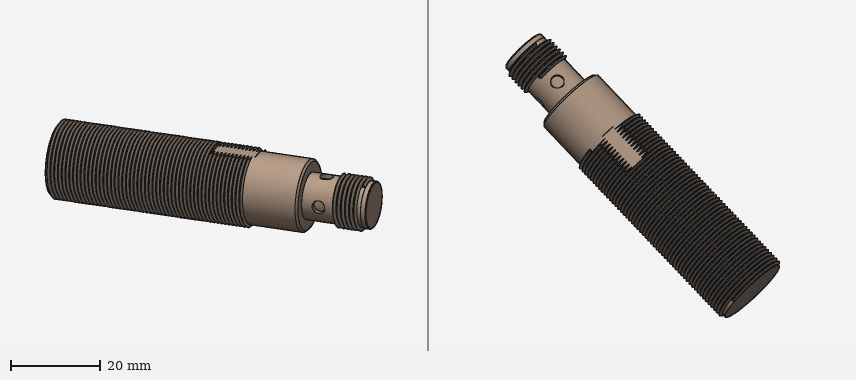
import cadquery as cq
barrel_radius = 8.35
barrel_length = 60.0
barrel_chamfer = 0.5

barrel_pitch = 0.9
barrel_crest_radius = 9.07
barrel_turns = 52
barrel_thread_start = 0.4
barrel_thread_angle = 40
block_turns = 10
block_count = 4

flat_start = 37.5
flat_length = 10.0
flat_height = 8.2

total_length = 75.3
neck_radius = 5.4
collar_radius = 5.45
collar_start = 74.0
collar_chamfer = 0.2
connector_pitch = 1.0
connector_crest_radius = 6.2
connector_turns = 6.13
connector_thread_start = 67.43
connector_thread_angle = 24

pocket_diameter = 3.0
pocket_floor_radius = 4.35
pocket_count = 4
pocket_x = 64.0

flank_slope = 0.52
root_overlap = 0.03

joint_tolerance = 0.0001


def cylinder(start, end, radius):
    """Cylinder along X between two stations."""
    return cq.Workplane("YZ").workplane(offset=start).circle(radius).extrude(end - start)


def thread(start, angle, pitch, turns, root_radius, crest_radius):
    """Right-handed thread ridge around X, its crest starting at x = start, at an angle from +Z toward +Y."""
    inner_radius = root_radius - root_overlap
    half_base = (crest_radius - inner_radius) * flank_slope
    helix = cq.Wire.makeHelix(pitch, pitch * turns, root_radius)
    ridge = (
        cq.Workplane("XZ")
        .polyline([(inner_radius, -half_base), (crest_radius, 0), (inner_radius, half_base)])
        .close()
        .sweep(helix, isFrenet=True)
    )
    ridge = ridge.rotate((0, 0, 0), (0, 1, 0), 90).rotate((0, 0, 0), (1, 0, 0), 180 - angle)
    return ridge.translate((start, 0, 0))


def turn_station(turn):
    """Station along X where the given turn of the barrel thread begins."""
    return barrel_thread_start + turn * barrel_pitch


def barrel_piece(core, first_turn, last_turn):
    """Core cylinder joined with the given turns of the barrel thread."""
    ridge = thread(
        turn_station(first_turn),
        barrel_thread_angle,
        barrel_pitch,
        last_turn - first_turn,
        barrel_radius,
        barrel_crest_radius,
    )
    return core.union(ridge, clean=False)


def slice_between(body, start, end):
    """Part of a body between two stations along X."""
    return body.intersect(cylinder(start, end, 2 * barrel_radius), clean=False)


def sew_at_joints(pieces, joints):
    """Join pieces that meet face to face at the given stations, dropping the faces inside."""
    outer_faces = []
    for piece in pieces:
        for face in piece.faces().vals():
            at_joint = any(abs(face.Center().x - joint) < joint_tolerance for joint in joints)
            if not (at_joint and face.geomType() == "PLANE"):
                outer_faces.append(face)
    body = cq.occ_impl.shapes.solid(*outer_faces, tol=joint_tolerance)
    return cq.Workplane(body)


def wrench_flat(side):
    """Block to cut away above the flat on the +Z (side = 1) or -Z (side = -1) side."""
    height = barrel_crest_radius
    width = 3 * barrel_crest_radius
    block = cq.Workplane("XY").box(flat_length, width, height, centered=(False, True, True))
    return block.translate((flat_start, 0, side * (flat_height + height / 2)))


def neck_pocket(angle):
    """Cutter for a round blind pocket in the neck, at the given angle from +Z around X."""
    pin = cq.Workplane("XY").center(pocket_x, 0).circle(pocket_diameter / 2).extrude(2 * neck_radius)
    pocket = pin.cut(cylinder(barrel_length, collar_start, pocket_floor_radius))
    return pocket.rotate((0, 0, 0), (1, 0, 0), angle)


def make_front_pieces():
    """First turn of the barrel and the block of turns that repeats behind it."""
    first_joint = turn_station(1)
    second_joint = turn_station(1 + block_turns)
    core = cylinder(0, turn_station(block_turns + 3), barrel_radius)
    sample = barrel_piece(core, 0, block_turns + 2)
    return slice_between(sample, 0, first_joint), slice_between(sample, first_joint, second_joint)


def make_rear_piece(first_turn):
    """Last turns of the barrel with the wrench flats, and the smooth end of the barrel."""
    core = cylinder(turn_station(first_turn - 2), barrel_length, barrel_radius)
    core = core.faces(">X").chamfer(barrel_chamfer)
    rear = barrel_piece(core, first_turn - 1, barrel_turns)
    rear = slice_between(rear, turn_station(first_turn), barrel_length)
    for side in (1, -1):
        rear = rear.cut(wrench_flat(side), clean=False)
    return rear


def make_barrel():
    """Threaded barrel: first turn, repeated blocks of turns, and the rear with its wrench flats."""
    first_piece, block = make_front_pieces()
    pieces = [first_piece]
    for index in range(block_count):
        pieces.append(block.translate((index * block_turns * barrel_pitch, 0, 0)))
    pieces.append(make_rear_piece(1 + block_count * block_turns))
    joints = [turn_station(1 + index * block_turns) for index in range(block_count + 1)]
    return sew_at_joints(pieces, joints)


def make_connector():
    """Neck with its pockets, the short connector thread and the end collar."""
    neck = cylinder(barrel_length, collar_start, neck_radius)
    for index in range(pocket_count):
        neck = neck.cut(neck_pocket(index * 360 / pocket_count))
    ridge = thread(
        connector_thread_start,
        connector_thread_angle,
        connector_pitch,
        connector_turns,
        neck_radius,
        connector_crest_radius,
    )
    collar = cylinder(collar_start, total_length, collar_radius).faces(">X").chamfer(collar_chamfer)
    return neck.union(ridge, clean=False).union(collar, clean=False)


result = make_barrel().union(make_connector(), clean=False)